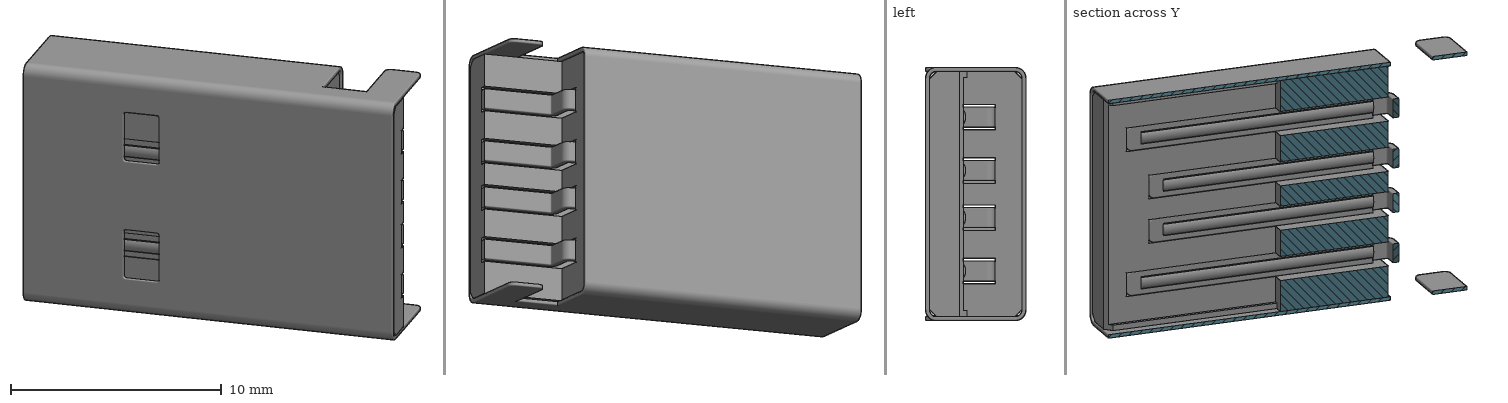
import cadquery as cq

length = 18.33
depth = 4.77
width = 12.0
sheet = 0.2
bend_radius = 0.51
inner_bend_radius = bend_radius - sheet
shell_edge_round = 0.05

notch_start = 14.43
notch_end = 16.55
notch_floor = 1.58
tab_corner = 0.31

latch_x = 5.87
latch_z = 2.97
latch_length = 1.76
latch_width = 2.47
latch_corner = 0.13

contact_places = [
    (-3.65, 1.17),
    (-1.12, 2.31),
    (1.12, 2.31),
    (3.65, 1.17),
]
contact_thickness = 0.33
contact_round = 0.05
inner_bend = 0.05
outer_bend = inner_bend + contact_thickness

tongue_face = 2.97
blade_face = tongue_face
blade_back = 3.37
blade_width = 1.2
blade_end = 13.75
blade_corner = 0.3

tail_width = 0.97
strip_face = blade_back - contact_thickness
tail_face = 1.47
tail_back = tail_face + contact_thickness
riser_back = 14.85
riser_front = riser_back - contact_thickness

rib_half_width = 0.27
rib_foot = 0.04
rib_crest = 2.86
rib_setback = 0.73
rib_end = blade_end

insulator_corner = inner_bend_radius
tongue_front = 0.07
rail_face = 2.8
rail_width = 0.27
bevel_foot = 3.15
bevel_run = 0.35
block_front = 8.78
block_back = 14.3
shelf_face = tail_back


def box(x_span, y_span, z_span):
    """A block between the given limits along X, Y and Z."""
    (x0, x1), (y0, y1), (z0, z1) = x_span, y_span, z_span
    return cq.Workplane("XY").box(x1 - x0, y1 - y0, z1 - z0, centered=False).translate((x0, y0, z0))


def centred(size):
    """The limits of a span of the given size, centred on zero."""
    return -size / 2, size / 2


def closed_bar(inset, x_span):
    """A square bar along X, inset from the shell's outer faces on all four sides."""
    return box(x_span, (inset, depth - inset), centred(width - 2 * inset))


def open_bar(inset, x_span, corner):
    """A bar along X that reaches full depth on +Y, inset on the other sides, its -Y corners rounded."""
    bar = box(x_span, (inset, depth), centred(width - 2 * inset))
    return bar.edges("|X and <Y").fillet(corner)


def make_sleeve():
    """The closed front tube and the U-shaped rear, with the notches that leave two tabs."""
    front_span = (0, notch_start)
    rear_span = (notch_start, length)
    rear = open_bar(0, rear_span, bend_radius)
    rear = rear.cut(box((notch_start, notch_end), (notch_floor, depth), centred(width)))
    rear = rear.edges("|Z and >Y").fillet(tab_corner)
    sleeve = closed_bar(0, front_span).edges("|X").fillet(bend_radius).union(rear)
    sleeve = sleeve.cut(closed_bar(sheet, front_span).edges("|X").fillet(inner_bend_radius))
    return sleeve.cut(open_bar(sheet, rear_span, inner_bend_radius))


def round_sleeve_edges(sleeve):
    """Round the front rim, then the rear rim together with the notches and tabs."""
    sleeve = sleeve.faces("<X").edges().fillet(shell_edge_round)
    rear_zone = cq.selectors.BoxSelector(
        (notch_start - sheet, -sheet, -width), (length + sheet, depth + sheet, width)
    )
    return sleeve.edges(rear_zone).edges("not |Z").fillet(shell_edge_round)


def latch_window(side):
    """A window through the -Y wall with rounded rims, as a cutter."""
    x_span = (latch_x - latch_length / 2, latch_x + latch_length / 2)
    z_span = (side * latch_z - latch_width / 2, side * latch_z + latch_width / 2)
    wall = box((x_span[0] - sheet, x_span[1] + sheet), (0, sheet), (z_span[0] - sheet, z_span[1] + sheet))
    opening = box(x_span, (0, sheet), z_span).edges("|Y").fillet(latch_corner)
    rim_zone = cq.selectors.BoxSelector(
        (x_span[0] - sheet / 2, -sheet, z_span[0] - sheet / 2),
        (x_span[1] + sheet / 2, 2 * sheet, z_span[1] + sheet / 2),
    )
    frame = wall.cut(opening).edges(rim_zone).edges("not |Y").fillet(shell_edge_round)
    return wall.cut(frame)


def make_shell():
    shell = round_sleeve_edges(make_sleeve())
    for side in (-1, 1):
        shell = shell.cut(latch_window(side))
    return shell


def make_blade(tip):
    blade = box((tip, blade_end), (blade_face, blade_back), centred(blade_width))
    blade = blade.edges("|Y and <X").fillet(blade_corner)
    return blade.faces("<Y").edges("not >X").fillet(contact_round)


def make_tail():
    """The narrow strip that leaves the blade, runs up the riser and along the shelf."""
    tail = (
        cq.Workplane("XY")
        .moveTo(blade_end, blade_back)
        .lineTo(riser_back, blade_back)
        .lineTo(riser_back, tail_back)
        .lineTo(length, tail_back)
        .lineTo(length, tail_face)
        .lineTo(riser_front, tail_face)
        .lineTo(riser_front, strip_face)
        .lineTo(blade_end, strip_face)
        .close()
        .extrude(tail_width / 2, both=True)
    )
    bends = (
        (riser_back, blade_back, outer_bend),
        (riser_front, strip_face, inner_bend),
        (riser_front, tail_face, outer_bend),
        (riser_back, tail_back, inner_bend),
    )
    for x, y, radius in bends:
        tail = tail.edges(cq.selectors.NearestToPointSelector((x, y, 0))).fillet(radius)
    return tail.faces("<Z or >Z").edges("not <X").fillet(contact_round)


def add_rib(contact, start):
    """Raise the rounded rib on the blade, with a flared foot along both sides."""
    shoulder = blade_face - rib_foot
    foot_half_width = rib_half_width + rib_foot
    rib = (
        cq.Workplane("YZ", origin=(start, 0, 0))
        .moveTo(blade_back, -foot_half_width)
        .lineTo(blade_face, -foot_half_width)
        .lineTo(shoulder, -rib_half_width)
        .threePointArc((rib_crest, 0), (shoulder, rib_half_width))
        .lineTo(blade_face, foot_half_width)
        .lineTo(blade_back, foot_half_width)
        .close()
        .extrude(rib_end - start)
    )
    rib = rib.faces("<X").edges("<Y").fillet(contact_round)
    return contact.union(rib)


def make_contact(z_centre, tip):
    contact = make_blade(tip).union(make_tail())
    return add_rib(contact, tip + rib_setback).translate((0, 0, z_centre))


def front_bevel():
    """The wedge removed from the front end of the tongue and its rails, as a cutter."""
    wedge = cq.Workplane("XY").moveTo(tongue_front, bevel_foot)
    wedge = wedge.lineTo(tongue_front + bevel_run, rail_face).lineTo(tongue_front, rail_face).close()
    return wedge.extrude(width / 2, both=True)


def contact_slot(z_centre, tip):
    """The slot for one contact, from the blade's tip to the end of the shelf, as a cutter."""
    z_span = (z_centre - blade_width / 2, z_centre + blade_width / 2)
    return box((tip, length), (tail_face, blade_back), z_span)


def make_insulator():
    insulator = closed_bar(sheet, (tongue_front, length)).edges("|X").chamfer(insulator_corner)
    insulator = insulator.cut(box((block_back, length), (shelf_face, depth), centred(width)))
    front_span = (tongue_front, block_front)
    between_rails = width - 2 * (sheet + rail_width)
    insulator = insulator.cut(box(front_span, (0, rail_face), centred(width)))
    insulator = insulator.cut(box(front_span, (0, tongue_face), centred(between_rails)))
    insulator = insulator.cut(front_bevel())
    for z_centre, tip in contact_places:
        insulator = insulator.cut(contact_slot(z_centre, tip))
    return insulator


shell = make_shell()
insulator = make_insulator()
contacts = [make_contact(z_centre, tip) for z_centre, tip in contact_places]

result = cq.Compound.makeCompound(
    [body.solids().val() for body in (shell, insulator, *contacts)]
)